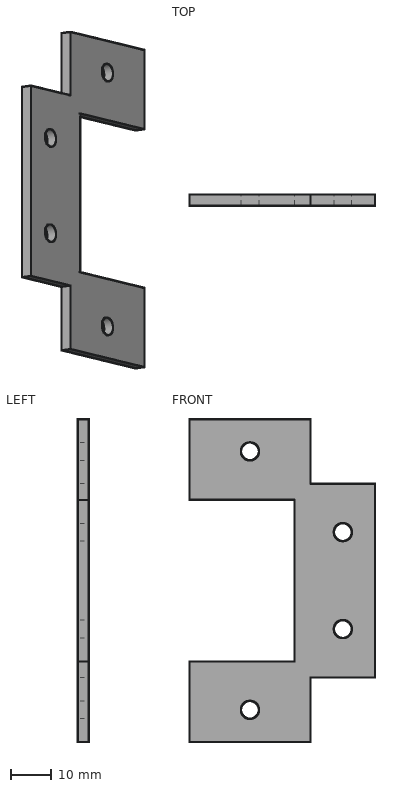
import cadquery as cq

width = 46.0
height = 80.0
thickness = 2.8

arm_length = 30.0
arm_height = 20.0

spine_width = 20.0
spine_height = 48.0

hole_diameter = 4.4
arm_hole_x = arm_length / 2
arm_hole_edge_distance = 8.0
spine_hole_edge_distance = 8.0
spine_hole_pitch = 24.0


def block(x_start, length, z_center, block_height):
    """Full-thickness block starting at x_start and centred on z_center."""
    return (
        cq.Workplane("XY")
        .box(length, thickness, block_height, centered=(False, True, True))
        .translate((x_start, 0, z_center))
    )


def through_hole(x, z):
    """Cylinder along Y that passes through the plate."""
    return (
        cq.Workplane("XZ", origin=(0, thickness, 0))
        .center(x, z)
        .circle(hole_diameter / 2)
        .extrude(2 * thickness)
    )


plate = block(width - spine_width, spine_width, 0, spine_height)
arm_center_z = (height - arm_height) / 2
for side in (-1, 1):
    plate = plate.union(block(0, arm_length, side * arm_center_z, arm_height))

arm_hole_z = height / 2 - arm_hole_edge_distance
spine_hole_x = width - spine_hole_edge_distance
for side in (-1, 1):
    plate = plate.cut(through_hole(arm_hole_x, side * arm_hole_z))
    plate = plate.cut(through_hole(spine_hole_x, side * spine_hole_pitch / 2))

result = plate.translate((-width / 2, 0, 0))